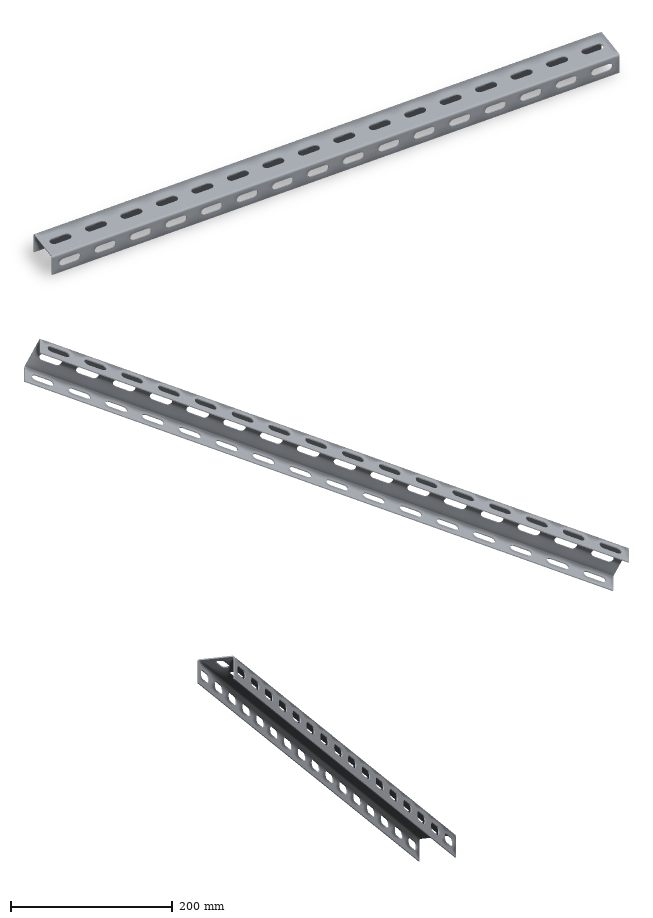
import cadquery as cq

length = 800.0
width = 50.0
height = 30.0
thickness = 1.5
bend_radius = 3.0
inner_bend_radius = bend_radius - thickness

slot_count = 16
slot_pitch = length / slot_count
slot_length = 30.0
slot_width = 11.0


def rounded_bar(bar_width, bar_height, corner_radius):
    """Solid bar standing on Z = 0 with its two upper long edges rounded."""
    bar = cq.Workplane("XY").box(bar_width, length, bar_height, centered=(True, True, False))
    return bar.edges("|Y and >Z").fillet(corner_radius)


def slot_row(normal, centre_height, reach):
    """Row of slot cutters along Y, reaching equally to both sides of the row's plane."""
    plane = cq.Plane(origin=(0, 0, centre_height), xDir=(0, 1, 0), normal=normal)
    return (
        cq.Workplane(plane)
        .rarray(slot_pitch, 8, slot_count, 1)
        .slot2D(slot_length, slot_width)
        .extrude(reach, both=True)
    )


outside = rounded_bar(width, height, bend_radius)
inside = rounded_bar(width - 2 * thickness, height - thickness, inner_bend_radius)
channel = outside.cut(inside)

web_slots = slot_row(normal=(0, 0, 1), centre_height=height, reach=2 * thickness)
flange_slots = slot_row(normal=(1, 0, 0), centre_height=height / 2, reach=width)

result = channel.cut(web_slots).cut(flange_slots)